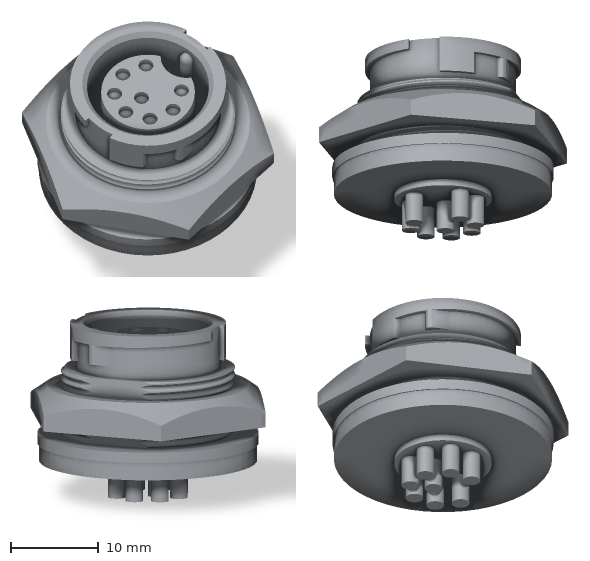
import cadquery as cq
import math

FLANGE_RADIUS = 12.6
FLANGE_RIM = 1.23
FLANGE_BASE_RADIUS = 12.45
FLANGE_HEIGHT = 3.25
BARREL_HEIGHT = 7.6
BARREL_FLAT = 8.97
SOCKET_RADIUS = 8.33
SHELL_TOP = 12.73

THREAD_TURNS = 8.5
PITCH = BARREL_HEIGHT / THREAD_TURNS
THREAD_CREST_RADIUS = 9.9
THREAD_ROOT_RADIUS = 9.5
THREAD_LAND = 0.15
ROOT_HEIGHT = 0.15
OVERCUT = 0.1

LIP_RADIUS = 8.9
LIP_THIN = 1.15
LIP_THICK = 1.65
LIP_SLOT_WIDTH = 3.65
STOP_WIDTH = 3.6
STOP_HEIGHT = 4.08
DETENT_FACE = 8.25
DETENT_SIDE = 3.85
DETENT_HEIGHT = 3.78
DETENT_ROUND = 0.53

BORE_RADIUS = 6.95
BORE_CHAMFER = 0.53
BORE_FLOOR = 0.0
KEY_RADIUS = 0.8
KEY_OFFSET = 6.65
KEY_BALL_DROP = 1.97

INSERT_RADIUS = 5.35
INSERT_DROP = 1.58
INSERT_NOTCH_RADIUS = 2.95
CONTACT_CIRCLE = 3.8
CONTACT_SPACING = 45
CONTACT_FIRST = 135
CONTACT_COUNT = 7
INNER_CONTACT_Y = -1.1
CONTACT_HOLE_RADIUS = 0.85
CONTACT_HOLE_DEPTH = 0.8
BACK_DISC_RADIUS = 5.55
BACK_DISC_HEIGHT = 0.73
PIN_RADIUS = 1.0
PIN_LENGTH = 3.3

NUT_CORNER_RADIUS = 14.66
NUT_BOTTOM = 1.67
NUT_TOP = 5.57
NUT_FACE_RADIUS = 11.61
NUT_CHAMFER_DROP = 2.1
NUT_MINOR_RADIUS = 9.85
NUT_MAJOR_RADIUS = 10.32
NUT_MINOR_LAND = 0.12
NUT_MAJOR_LAND = 0.23
NUT_LIFT = 0.12


def cylinder(radius, bottom, top):
    return cq.Workplane("XY").workplane(offset=bottom).circle(radius).extrude(top - bottom)


def polar(radius, degrees):
    angle = math.radians(degrees)
    return (radius * math.cos(angle), radius * math.sin(angle))


def threaded_rod(root_radius, crest_radius, root_land, crest_land):
    """Right-hand threaded rod as tall as the barrel."""
    flank_slope = (PITCH - root_land - crest_land) / 2 / (crest_radius - root_radius)
    mouth_radius = crest_radius + OVERCUT
    mouth_height = root_land + 2 * flank_slope * (mouth_radius - root_radius)
    start = ROOT_HEIGHT - PITCH
    turns = math.ceil(THREAD_TURNS) + 2
    profile = (
        cq.Workplane("XZ")
        .polyline(
            [
                (root_radius, start - root_land / 2),
                (root_radius, start + root_land / 2),
                (mouth_radius, start + mouth_height / 2),
                (mouth_radius, start - mouth_height / 2),
            ]
        )
        .close()
    )
    helix = cq.Wire.makeHelix(PITCH, turns * PITCH, root_radius, center=cq.Vector(0, 0, start))
    groove = profile.sweep(cq.Workplane(helix), isFrenet=True)
    return cylinder(crest_radius, 0, BARREL_HEIGHT).cut(groove)


def contact_places():
    ring = [polar(CONTACT_CIRCLE, CONTACT_FIRST + CONTACT_SPACING * i) for i in range(CONTACT_COUNT)]
    return ring + [(0, INNER_CONTACT_Y)]


def make_flange():
    rim = cylinder(FLANGE_RADIUS, -FLANGE_RIM, 0)
    return rim.union(cylinder(FLANGE_BASE_RADIUS, -FLANGE_HEIGHT, -FLANGE_RIM))


def make_threaded_barrel():
    barrel = threaded_rod(THREAD_ROOT_RADIUS, THREAD_CREST_RADIUS, THREAD_LAND, THREAD_LAND)
    beyond_flat = cq.Workplane("XY").box(
        2 * THREAD_CREST_RADIUS, 2 * THREAD_CREST_RADIUS, BARREL_HEIGHT, centered=(True, True, False)
    ).translate((-BARREL_FLAT - THREAD_CREST_RADIUS, 0, 0))
    return barrel.cut(beyond_flat)


def make_bayonet_side():
    """The half of the lip on the -X side, with its stop and its detent."""
    lip_disc = cylinder(LIP_RADIUS, SHELL_TOP - STOP_HEIGHT, SHELL_TOP)
    slot_edge = LIP_SLOT_WIDTH / 2
    wedge = (
        cq.Workplane("YZ", origin=(-slot_edge, 0, 0))
        .polyline(
            [
                (-LIP_RADIUS, SHELL_TOP),
                (LIP_RADIUS, SHELL_TOP),
                (LIP_RADIUS, SHELL_TOP - LIP_THICK),
                (-LIP_RADIUS, SHELL_TOP - LIP_THIN),
            ]
        )
        .close()
        .extrude(slot_edge - LIP_RADIUS)
    )
    stop = cq.Workplane("XY").box(STOP_WIDTH, LIP_RADIUS, STOP_HEIGHT, centered=False).translate(
        (-slot_edge - STOP_WIDTH, 0, SHELL_TOP - STOP_HEIGHT)
    )
    detent = (
        cq.Workplane("XY", origin=(0, 0, SHELL_TOP - DETENT_HEIGHT))
        .moveTo(0, 0)
        .lineTo(-DETENT_FACE, 0)
        .lineTo(-DETENT_FACE, DETENT_SIDE - DETENT_ROUND)
        .radiusArc((-DETENT_FACE + DETENT_ROUND, DETENT_SIDE), DETENT_ROUND)
        .lineTo(0, DETENT_SIDE)
        .close()
        .extrude(DETENT_HEIGHT - LIP_THIN)
    )
    return wedge.union(stop).union(detent).intersect(lip_disc)


def make_mouth():
    mouth = cylinder(SOCKET_RADIUS, 0, SHELL_TOP)
    side = make_bayonet_side()
    for angle in (0, 180):
        mouth = mouth.union(side.rotate((0, 0, 0), (0, 0, 1), angle))
    return mouth


def make_bore():
    bore = cylinder(BORE_RADIUS, BORE_FLOOR, SHELL_TOP)
    lead_in = cq.Solid.makeCone(
        BORE_RADIUS, BORE_RADIUS + BORE_CHAMFER, BORE_CHAMFER, pnt=cq.Vector(0, 0, SHELL_TOP - BORE_CHAMFER)
    )
    return bore.union(cq.Workplane(lead_in))


def make_key():
    ball_height = SHELL_TOP - KEY_BALL_DROP
    ball = cq.Workplane("XY").sphere(KEY_RADIUS).translate((0, 0, ball_height))
    return cylinder(KEY_RADIUS, BORE_FLOOR, ball_height).union(ball).translate((0, KEY_OFFSET, 0))


def make_insert():
    top = SHELL_TOP - INSERT_DROP
    notch = cylinder(INSERT_NOTCH_RADIUS, BORE_FLOOR, top).translate((0, KEY_OFFSET, 0))
    holes = (
        cq.Workplane("XY", origin=(0, 0, top - CONTACT_HOLE_DEPTH))
        .pushPoints(contact_places())
        .circle(CONTACT_HOLE_RADIUS)
        .extrude(CONTACT_HOLE_DEPTH)
    )
    return cylinder(INSERT_RADIUS, BORE_FLOOR, top).cut(notch).cut(holes)


def make_back():
    disc_bottom = -FLANGE_HEIGHT - BACK_DISC_HEIGHT
    pins = (
        cq.Workplane("XY", origin=(0, 0, disc_bottom))
        .pushPoints(contact_places())
        .circle(PIN_RADIUS)
        .extrude(-PIN_LENGTH)
    )
    return cylinder(BACK_DISC_RADIUS, disc_bottom, -FLANGE_HEIGHT).union(pins)


def make_connector():
    shell = make_mouth().union(make_threaded_barrel()).cut(make_bore())
    contents = make_insert().union(make_key())
    return shell.union(make_flange()).union(contents).union(make_back())


def make_nut():
    hexagon = (
        cq.Workplane("XY", origin=(0, 0, NUT_BOTTOM))
        .polygon(6, 2 * NUT_CORNER_RADIUS)
        .extrude(NUT_TOP - NUT_BOTTOM)
        .rotate((0, 0, 0), (0, 0, 1), 30)
    )
    envelope = (
        cq.Workplane("XZ")
        .polyline(
            [
                (0, NUT_BOTTOM),
                (NUT_CORNER_RADIUS, NUT_BOTTOM),
                (NUT_CORNER_RADIUS, NUT_TOP - NUT_CHAMFER_DROP),
                (NUT_FACE_RADIUS, NUT_TOP),
                (0, NUT_TOP),
            ]
        )
        .close()
        .revolve(360, (0, 0, 0), (0, 1, 0))
    )
    threaded_hole = threaded_rod(NUT_MINOR_RADIUS, NUT_MAJOR_RADIUS, NUT_MINOR_LAND, NUT_MAJOR_LAND)
    return hexagon.intersect(envelope).cut(threaded_hole.translate((0, 0, NUT_LIFT)))


connector = make_connector()
nut = make_nut()
result = cq.Compound.makeCompound([connector.val(), nut.val()])